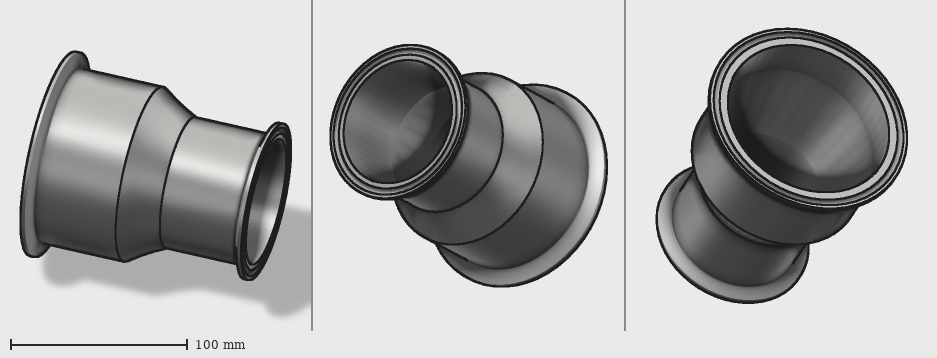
import cadquery as cq
import math

LENGTH = 127.0

LARGE_OUTER_RADIUS = 101.6 / 2
LARGE_BORE_RADIUS = 97.38 / 2
LARGE_FLANGE_RADIUS = 118.92 / 2
SMALL_OUTER_RADIUS = 76.2 / 2
SMALL_BORE_RADIUS = 72.9 / 2
SMALL_FLANGE_RADIUS = 90.91 / 2

TRANSITION_START = 54.0
TRANSITION_END = 76.2
TRANSITION_SAG = 0.7

BORE_TAPER_START = 26.5

RIM_WIDTH = 2.7
RIM_FILLET = 0.4
FLANGE_BACK_ANGLE = 20.0
FLANGE_ROOT_FILLET = 1.0

GROOVE_RIM_INSET = 4.05
GROOVE_HALF_WIDTH = 1.8
GROOVE_FLOOR_HALF_WIDTH = 1.0
GROOVE_WALL_DEPTH = 1.1
GROOVE_DEPTH = 1.6


def revolve_about_x(profile):
    """Turn a closed profile of axial and radial coordinates into a solid of revolution."""
    return profile.close().revolve(360, (0, 0, 0), (1, 0, 0))


def transition_middle(start_radius, end_radius):
    """Middle point of the bowed transition wall between two radii."""
    run = TRANSITION_END - TRANSITION_START
    rise = end_radius - start_radius
    chord = math.hypot(run, rise)
    return (
        (TRANSITION_START + TRANSITION_END) / 2 + TRANSITION_SAG * rise / chord,
        (start_radius + end_radius) / 2 - TRANSITION_SAG * run / chord,
    )


def outer_body():
    """Solid with the two tube surfaces and the bowed transition between them."""
    profile = (
        cq.Workplane("XY")
        .lineTo(0, LARGE_OUTER_RADIUS)
        .lineTo(TRANSITION_START, LARGE_OUTER_RADIUS)
        .threePointArc(
            transition_middle(LARGE_OUTER_RADIUS, SMALL_OUTER_RADIUS),
            (TRANSITION_END, SMALL_OUTER_RADIUS),
        )
        .lineTo(LENGTH, SMALL_OUTER_RADIUS)
        .lineTo(LENGTH, 0)
    )
    return revolve_about_x(profile)


def through_bore():
    """Large bore, taper and small bore, to cut from the whole length."""
    profile = (
        cq.Workplane("XY")
        .lineTo(0, LARGE_BORE_RADIUS)
        .lineTo(BORE_TAPER_START, LARGE_BORE_RADIUS)
        .lineTo(TRANSITION_END, SMALL_BORE_RADIUS)
        .lineTo(LENGTH, SMALL_BORE_RADIUS)
        .lineTo(LENGTH, 0)
    )
    return revolve_about_x(profile)


def flange(flange_radius, tube_radius):
    """Clamp flange with its face at X = 0, a sloped back and a filleted root on the tube."""
    angle = math.radians(FLANGE_BACK_ANGLE)
    cone_end = RIM_WIDTH + (flange_radius - tube_radius) * math.tan(angle)

    turn = math.pi / 2 - angle
    tangent = FLANGE_ROOT_FILLET * math.tan(turn / 2)
    root_end = cone_end + tangent
    root_centre_radius = tube_radius + FLANGE_ROOT_FILLET
    root_middle = (
        root_end - FLANGE_ROOT_FILLET * math.sin(turn / 2),
        root_centre_radius - FLANGE_ROOT_FILLET * math.cos(turn / 2),
    )
    root_start = (
        root_end - FLANGE_ROOT_FILLET * math.sin(turn),
        root_centre_radius - FLANGE_ROOT_FILLET * math.cos(turn),
    )

    rim_tangent = RIM_FILLET * math.tan(turn / 2)
    rim_start = RIM_WIDTH - rim_tangent
    rim_centre_radius = flange_radius - RIM_FILLET
    rim_middle = (
        rim_start + RIM_FILLET * math.sin(turn / 2),
        rim_centre_radius + RIM_FILLET * math.cos(turn / 2),
    )
    rim_end = (
        rim_start + RIM_FILLET * math.sin(turn),
        rim_centre_radius + RIM_FILLET * math.cos(turn),
    )

    profile = (
        cq.Workplane("XY")
        .lineTo(0, flange_radius)
        .lineTo(rim_start, flange_radius)
        .threePointArc(rim_middle, rim_end)
        .lineTo(*root_start)
        .threePointArc(root_middle, (root_end, tube_radius))
        .lineTo(root_end, 0)
    )
    return revolve_about_x(profile)


def gasket_groove(flange_radius):
    """Ring to cut from a flange face at X = 0: sloped walls and a rounded floor."""
    centre = flange_radius - GROOVE_RIM_INSET
    profile = (
        cq.Workplane("XY")
        .moveTo(0, centre + GROOVE_HALF_WIDTH)
        .lineTo(GROOVE_WALL_DEPTH, centre + GROOVE_FLOOR_HALF_WIDTH)
        .threePointArc(
            (GROOVE_DEPTH, centre),
            (GROOVE_WALL_DEPTH, centre - GROOVE_FLOOR_HALF_WIDTH),
        )
        .lineTo(0, centre - GROOVE_HALF_WIDTH)
    )
    return revolve_about_x(profile)


def grooved_flange(flange_radius, tube_radius):
    """Clamp flange with its gasket groove."""
    return flange(flange_radius, tube_radius).cut(gasket_groove(flange_radius))


def to_small_end(shape):
    """Mirror a shape built at X = 0 onto the small end of the part."""
    return shape.mirror("YZ").translate((LENGTH, 0, 0))


large_flange = grooved_flange(LARGE_FLANGE_RADIUS, LARGE_OUTER_RADIUS)
small_flange = to_small_end(grooved_flange(SMALL_FLANGE_RADIUS, SMALL_OUTER_RADIUS))

result = outer_body().union(large_flange).union(small_flange).cut(through_bore())